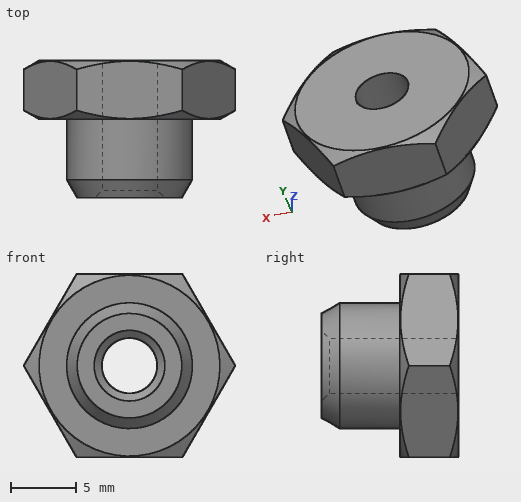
import cadquery as cq
import math

across_corners = 16.17
head_length = 4.5
head_face_radius = 6.9
chamfer_slope = math.tan(math.radians(30))

stem_length = 6.0
stem_radius = 4.8
stem_tip_radius = 4.0
stem_taper_length = (stem_radius - stem_tip_radius) / chamfer_slope

bore_radius = 2.1
countersink_radius = 2.7
countersink_depth = countersink_radius - bore_radius


def revolve_about_y(points):
    """Revolve a closed (radius, y) outline about the Y axis."""
    return cq.Workplane("XY").polyline(points).close().revolve(360, (0, 0), (0, 1))


def make_head():
    """Hexagonal prism from y = 0 to head_length, with conical corners on both faces."""
    corner_radius = across_corners / 2
    corner_drop = (corner_radius - head_face_radius) * chamfer_slope
    prism = cq.Workplane("XZ").polygon(6, across_corners).extrude(-head_length)
    envelope = revolve_about_y([
        (0, 0),
        (head_face_radius, 0),
        (corner_radius, corner_drop),
        (corner_radius, head_length - corner_drop),
        (head_face_radius, head_length),
        (0, head_length),
    ])
    return prism.intersect(envelope)


def make_stem():
    """Stem with a tapered tip, rooted on the head face at y = 0."""
    return revolve_about_y([
        (0, 0),
        (stem_radius, 0),
        (stem_radius, stem_taper_length - stem_length),
        (stem_tip_radius, -stem_length),
        (0, -stem_length),
    ])


def make_bore():
    """Cutter for the through bore and its countersink."""
    return revolve_about_y([
        (0, -stem_length),
        (countersink_radius, -stem_length),
        (bore_radius, countersink_depth - stem_length),
        (bore_radius, head_length),
        (0, head_length),
    ])


result = make_head().union(make_stem()).cut(make_bore())